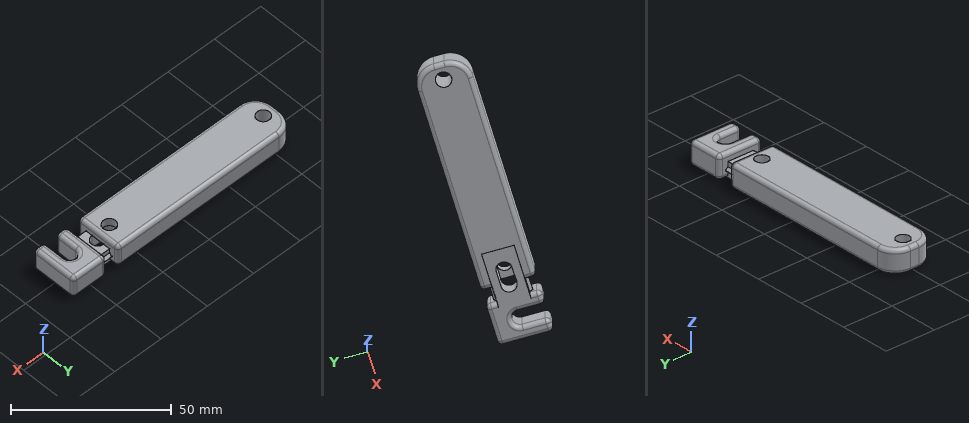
import cadquery as cq

total_length = 96.15
width = 18.0
height = 9.1
edge_radius = 1.5
hole_diameter = 5.1

handle_length = 76.9
nose_radius = 7.3
lanyard_hole_x = 5.5
pin_hole_x = handle_length - 5.0

head_length = 14.2
head_start = total_length - head_length
head_middle = total_length - head_length / 2
notch_width = 5.0

tongue_start = 64.9
tongue_end = head_start + 2 * edge_radius
tongue_height = 5.9
tongue_half_width = 5.3
ridge_half_width = 6.3
ridge_bottom = 2.0
ridge_middle = 3.03
ridge_top = 4.0
slot_end_x = 77.0


def make_tongue_bar():
    """Solid tongue, which is also the shape of the groove in the handle."""
    right_side = [
        (tongue_half_width, 0),
        (tongue_half_width, ridge_bottom),
        (ridge_half_width, ridge_middle),
        (tongue_half_width, ridge_top),
        (tongue_half_width, tongue_height),
    ]
    left_side = [(-y, z) for y, z in reversed(right_side)]
    return (
        cq.Workplane("YZ", origin=(tongue_start, 0, 0))
        .polyline(right_side + left_side)
        .close()
        .extrude(tongue_end - tongue_start)
    )


def make_handle():
    """Rounded handle with two cross holes and a groove open at the end and underside."""
    body = cq.Workplane("XY").box(handle_length, width, height, centered=(False, True, False))
    body = body.edges("|Z and <X").fillet(nose_radius)
    body = body.edges("|Z and >X").fillet(edge_radius)
    body = body.faces("<Z or >Z").edges().fillet(edge_radius)
    holes = (
        cq.Workplane("XY")
        .pushPoints([(lanyard_hole_x, 0), (pin_hole_x, 0)])
        .circle(hole_diameter / 2)
        .extrude(height)
    )
    return body.cut(holes).cut(make_tongue_bar())


def make_hook_head():
    """Block with a round-ended notch open toward -Y, rounded along all its edges."""
    head = cq.Workplane("XY", origin=(head_start, 0, 0)).box(
        head_length, width, height, centered=(False, True, False)
    )
    notch_round = cq.Workplane("XY").center(head_middle, 0).circle(notch_width / 2).extrude(height)
    notch_channel = cq.Workplane("XY", origin=(head_middle, -width / 4, 0)).box(
        notch_width, width / 2, height, centered=(True, True, False)
    )
    head = head.cut(notch_round.union(notch_channel))
    head = head.edges("|Z and (<Y or >Y)").fillet(edge_radius)
    return head.faces("<Z or >Z").edges().fillet(edge_radius)


def make_hook():
    """Hook head and slotted tongue as one sliding piece."""
    slot_travel = slot_end_x - pin_hole_x
    slot = (
        cq.Workplane("XY")
        .center((pin_hole_x + slot_end_x) / 2, 0)
        .slot2D(slot_travel + hole_diameter, hole_diameter)
        .extrude(tongue_height)
    )
    return make_hook_head().union(make_tongue_bar().cut(slot))


handle = make_handle()
hook = make_hook()

result = cq.Compound.makeCompound([handle.solids().val(), hook.solids().val()])